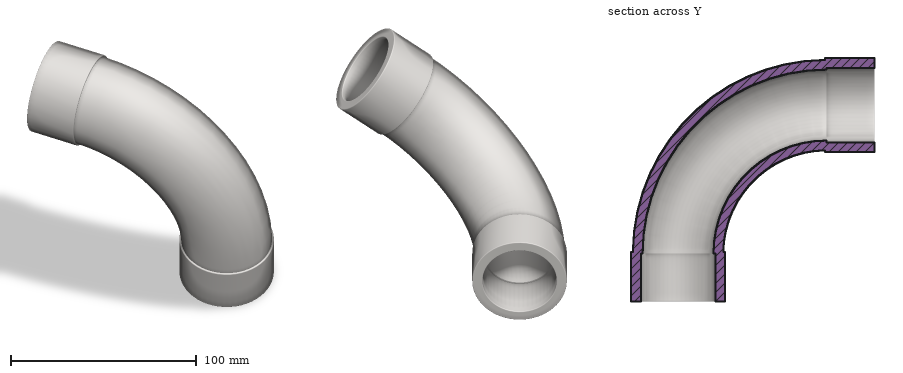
import cadquery as cq

BEND_ANGLE = 90
BEND_RADIUS = 80.0
PIPE_DIAMETER = 49.0
PIPE_BORE = 38.0
SOCKET_DIAMETER = 51.0
SOCKET_BORE = 40.0
SOCKET_LENGTH = 27.0
SOCKET_DEPTH = 26.0
RIM_RADIUS = 0.5

ENDS = (
    (cq.Vector(0, 0, BEND_RADIUS), cq.Vector(-1, 0, 0)),
    (cq.Vector(BEND_RADIUS, 0, 0), cq.Vector(0, 0, -1)),
)


def bent_rod(diameter):
    """Quarter torus of the given section diameter joining the two ends."""
    return (
        cq.Workplane("XY")
        .center(BEND_RADIUS, 0)
        .circle(diameter / 2)
        .revolve(BEND_ANGLE, (-BEND_RADIUS, 0, 0), (-BEND_RADIUS, -1, 0))
    )


def rod(start, direction, diameter, length):
    """Straight cylinder from a start point along a direction."""
    return cq.Workplane(cq.Plane(start, normal=direction)).circle(diameter / 2).extrude(length)


def socket_collar(bend_end, outward):
    """Collar with a rounded inner rim, reaching from the mouth to a little over the start of the bend."""
    mouth = bend_end + outward * SOCKET_DEPTH
    inward = outward * -1
    collar = rod(mouth, inward, SOCKET_DIAMETER, SOCKET_LENGTH)
    return collar.faces(cq.selectors.DirectionMinMaxSelector(inward)).edges().fillet(RIM_RADIUS)


def socket_bore(bend_end, outward):
    """Bore from the mouth down to the shoulder where the narrower pipe bore begins."""
    return rod(bend_end, outward, SOCKET_BORE, SOCKET_DEPTH)


def round_mouth(elbow, outward):
    """Round the outer rim and the bore lip of the end face that faces outward."""
    return elbow.faces(cq.selectors.DirectionMinMaxSelector(outward)).edges().fillet(RIM_RADIUS)


elbow = bent_rod(PIPE_DIAMETER)
for bend_end, outward in ENDS:
    elbow = elbow.union(socket_collar(bend_end, outward))

elbow = elbow.cut(bent_rod(PIPE_BORE))
for bend_end, outward in ENDS:
    elbow = elbow.cut(socket_bore(bend_end, outward))
    elbow = round_mouth(elbow, outward)

result = elbow